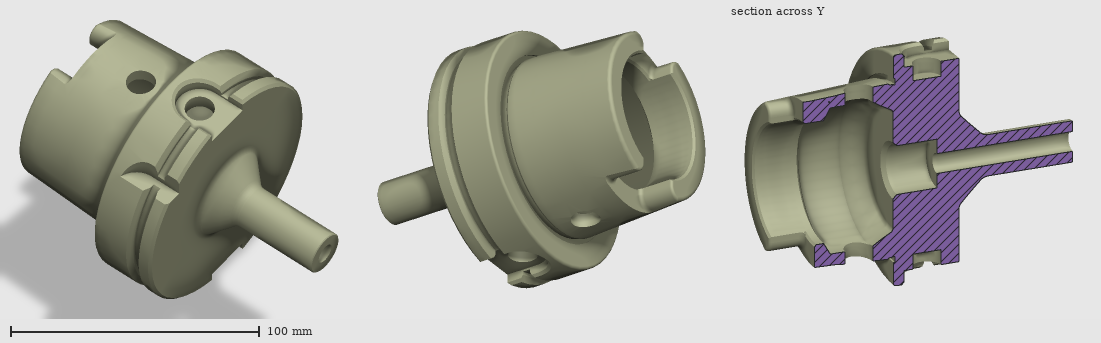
import cadquery as cq
import math


total_length = 129.0
flange_start = 49.9
flange_end = 79.0
flange_radius = 100.0 / 2
flange_round = 1.2
flange_chamfer = 1.2

mouth_radius = 35.6
taper_slope = 1 / 20
taper_length = 47.6
neck_start = 48.4
neck_end = 49.1
neck_radius = 37.4
relief_radius = 37.2
recess_radius = 39.6
recess_depth = 0.8
mouth_round = 1.7

groove_centre = 69.8
groove_floor_width = 3.5
groove_floor_radius = 46.0
groove_wall_radius = 47.5
groove_flank_angle = 30.0

cone_angle = 45.0
cone_base_radius = 19.7
cone_base_blend = 4.0
stem_radius = 9.0
stem_blend = 5.0
stem_chamfer = 0.4

bore_radius = 26.5
bore_length = 19.4
bore_chamfer = 0.9
undercut_radius = 31.5
undercut_end = 40.1
undercut_angle = 60.0
cavity_cone_angle = 30.0
cavity_floor_radius = 24.8
cavity_floor_round = 1.9
seat_radius = 10.5
seat_chamfer = 1.7
seat_depth = 19.4
coolant_radius = 4.19

slot_width = 20.0
slot_end_centre = 64.9
slot_floor = 44.0
slot_chamfer = 1.3
upper_notch_depth = 10.2
lower_notch_depth = 15.2
notch_shoulder = 32.0
notch_corner_radius = 4.9
notch_floor_round = 1.7
notch_mouth_round = 1.2
corner_notch_offset = 31.2
hole_radius = 6.0
screw_hole_depth = 6.5
cross_hole_centre = 34.8

half_slot = slot_width / 2
notch_shoulder_start = notch_shoulder - notch_corner_radius
notch_shoulder_y = half_slot + notch_corner_radius
margin = 6.5
gap = 0.1


def revolve_about_x(profile):
    return profile.close().revolve(360, (0, 0, 0), (1, 0, 0))


def turn_over(shape):
    """Half a turn about the X axis, from the +Z side to the -Z side."""
    return shape.rotate((0, 0, 0), (1, 0, 0), 180)


def blend_arc(corner, angle_in, angle_out, radius):
    """Start, middle and end of the arc that rounds a corner between two directions."""
    half_turn = math.radians(angle_out - angle_in) / 2
    reach = radius * math.tan(abs(half_turn))
    sagitta_gap = radius / math.cos(half_turn) - radius
    inward = math.radians((angle_in + angle_out) / 2) + math.copysign(math.pi / 2, half_turn)

    def from_corner(angle, distance):
        return corner[0] + distance * math.cos(angle), corner[1] + distance * math.sin(angle)

    start = from_corner(math.radians(angle_in), -reach)
    middle = from_corner(inward, sagitta_gap)
    end = from_corner(math.radians(angle_out), reach)
    return start, middle, end


def outer_body():
    floor_left = groove_centre - groove_floor_width / 2
    floor_right = groove_centre + groove_floor_width / 2
    flank = (flange_radius - groove_wall_radius) * math.tan(math.radians(groove_flank_angle))

    cone_length = (cone_base_radius - stem_radius) / math.tan(math.radians(cone_angle))
    base_start, base_middle, base_end = blend_arc(
        (flange_end, cone_base_radius), -90, -cone_angle, cone_base_blend
    )
    stem_start, stem_middle, stem_end = blend_arc(
        (flange_end + cone_length, stem_radius), -cone_angle, 0, stem_blend
    )

    profile = (
        cq.Workplane("XY")
        .moveTo(0, 0)
        .lineTo(0, mouth_radius)
        .lineTo(taper_length, mouth_radius + taper_slope * taper_length)
        .lineTo(neck_start, neck_radius)
        .lineTo(neck_end, neck_radius)
        .lineTo(flange_start + recess_depth, relief_radius)
        .lineTo(flange_start + recess_depth, recess_radius)
        .lineTo(flange_start, recess_radius)
        .lineTo(flange_start, flange_radius - flange_round)
        .radiusArc((flange_start + flange_round, flange_radius), flange_round)
        .lineTo(floor_left - flank, flange_radius)
        .lineTo(floor_left, groove_wall_radius)
        .lineTo(floor_left, groove_floor_radius)
        .lineTo(floor_right, groove_floor_radius)
        .lineTo(floor_right, groove_wall_radius)
        .lineTo(floor_right + flank, flange_radius)
        .lineTo(flange_end - flange_chamfer, flange_radius)
        .lineTo(flange_end, flange_radius - flange_chamfer)
        .lineTo(*base_start)
        .threePointArc(base_middle, base_end)
        .lineTo(*stem_start)
        .threePointArc(stem_middle, stem_end)
        .lineTo(total_length - stem_chamfer, stem_radius)
        .lineTo(total_length, stem_radius - stem_chamfer)
        .lineTo(total_length, 0)
    )
    return revolve_about_x(profile)


def mouth_rounding():
    """Ring cutter that rounds the outer rim of the mouth."""
    round_end = (mouth_round, mouth_radius + taper_slope * mouth_round)
    profile = (
        cq.Workplane("XY")
        .moveTo(0, mouth_radius - mouth_round)
        .radiusArc(round_end, mouth_round)
        .lineTo(mouth_round, mouth_radius + margin)
        .lineTo(-margin, mouth_radius + margin)
        .lineTo(-margin, mouth_radius - mouth_round)
    )
    return revolve_about_x(profile)


def bore_edge_cone(x):
    """Cutter that bevels the rim of the bore where it starts at x."""
    profile = (
        cq.Workplane("XY")
        .moveTo(x, 0)
        .lineTo(x, bore_radius + bore_chamfer)
        .lineTo(x + bore_chamfer, bore_radius)
        .lineTo(x + bore_chamfer, 0)
    )
    return revolve_about_x(profile)


def mouth_bore():
    bore = cq.Workplane("YZ", origin=(-margin, 0, 0)).circle(bore_radius).extrude(margin + bore_length)
    return bore.union(bore_edge_cone(0))


def cavity():
    """Undercut chamber behind the mouth bore, the seat in its floor and the coolant bore."""
    undercut_run = (undercut_radius - bore_radius) / math.tan(math.radians(undercut_angle))

    narrowing = math.radians(cavity_cone_angle)
    arc_start_radius = cavity_floor_radius + cavity_floor_round * math.cos(narrowing)
    arc_start_x = undercut_end + (undercut_radius - arc_start_radius) / math.tan(narrowing)
    floor_x = arc_start_x + cavity_floor_round * (1 - math.sin(narrowing))
    seat_end = floor_x + seat_depth
    profile = (
        cq.Workplane("XY")
        .moveTo(bore_length, 0)
        .lineTo(bore_length, bore_radius)
        .lineTo(bore_length + undercut_run, undercut_radius)
        .lineTo(undercut_end, undercut_radius)
        .lineTo(arc_start_x, arc_start_radius)
        .radiusArc((floor_x, cavity_floor_radius), cavity_floor_round)
        .lineTo(floor_x, seat_radius + seat_chamfer)
        .lineTo(floor_x + seat_chamfer, seat_radius)
        .lineTo(seat_end, seat_radius)
        .lineTo(seat_end, coolant_radius)
        .lineTo(total_length + margin, coolant_radius)
        .lineTo(total_length + margin, 0)
    )
    return revolve_about_x(profile)


def mouth_notch(depth):
    """Key notch on the +Z side of the mouth, with rounded shoulders and a rounded floor."""
    side = mouth_radius + margin
    bottom = bore_radius / 2
    profile = (
        cq.Workplane("YZ", origin=(-margin, 0, 0))
        .moveTo(-half_slot, bottom)
        .lineTo(half_slot, bottom)
        .lineTo(half_slot, notch_shoulder_start)
        .radiusArc((notch_shoulder_y, notch_shoulder), notch_corner_radius)
        .lineTo(side, notch_shoulder)
        .lineTo(side, side)
        .lineTo(-side, side)
        .lineTo(-side, notch_shoulder)
        .lineTo(-notch_shoulder_y, notch_shoulder)
        .radiusArc((-half_slot, notch_shoulder_start), notch_corner_radius)
        .close()
    )
    notch = profile.extrude(margin + depth).faces(">X").edges().fillet(notch_floor_round)
    notch_span = cq.Workplane("XY").box(total_length, slot_width, side, centered=(True, True, False))
    return notch.union(bore_edge_cone(depth).intersect(notch_span))


def notch_mouth_edges():
    """Picks the edges where the notch walls meet the mouth face, by their centres."""
    reach_y = notch_shoulder_y + gap
    reach_z = notch_shoulder + gap
    upper = cq.selectors.BoxSelector((-gap, -reach_y, gap), (gap, reach_y, reach_z))
    lower = cq.selectors.BoxSelector((-gap, -reach_y, -reach_z), (gap, reach_y, -gap))
    return upper + lower


def round_ended_slot(centre_y, floor_z):
    """Cutter with a half-round end, open towards the front face of the flange."""
    straight_length = flange_end + slot_width - slot_end_centre
    return (
        cq.Workplane("XY", origin=(slot_end_centre + straight_length / 2, centre_y, floor_z))
        .slot2D(straight_length + slot_width, slot_width)
        .extrude(flange_radius + margin - floor_z)
    )


def drive_slot():
    """Round-ended slot on the +Z side with a blind hole in its floor."""
    hole = (
        cq.Workplane("XY", origin=(slot_end_centre, 0, slot_floor))
        .circle(hole_radius)
        .extrude(-screw_hole_depth)
    )
    return round_ended_slot(0, slot_floor).union(hole)


def drive_slot_rims():
    """Picks the outer rims of both drive slots: edges that lie wholly inside the two boxes."""
    left = slot_end_centre - half_slot - gap
    right = flange_end + gap
    reach_y = half_slot + gap
    low = math.sqrt(flange_radius**2 - half_slot**2) - gap
    high = flange_radius + gap
    upper = cq.selectors.BoxSelector((left, -reach_y, low), (right, reach_y, high), True)
    lower = cq.selectors.BoxSelector((left, -reach_y, -high), (right, reach_y, -low), True)
    return upper + lower


def cross_hole():
    return (
        cq.Workplane("XY", origin=(cross_hole_centre, 0, 0))
        .circle(hole_radius)
        .extrude(flange_radius, both=True)
    )


body = outer_body()
body = body.cut(mouth_notch(upper_notch_depth))
body = body.cut(turn_over(mouth_notch(lower_notch_depth)))
body = body.edges(notch_mouth_edges()).fillet(notch_mouth_round)
body = body.cut(mouth_rounding()).cut(mouth_bore()).cut(cavity())

body = body.cut(drive_slot()).cut(turn_over(drive_slot()))
body = body.edges(drive_slot_rims()).chamfer(slot_chamfer)
body = body.cut(round_ended_slot(-corner_notch_offset - half_slot, corner_notch_offset))

result = body.cut(cross_hole())